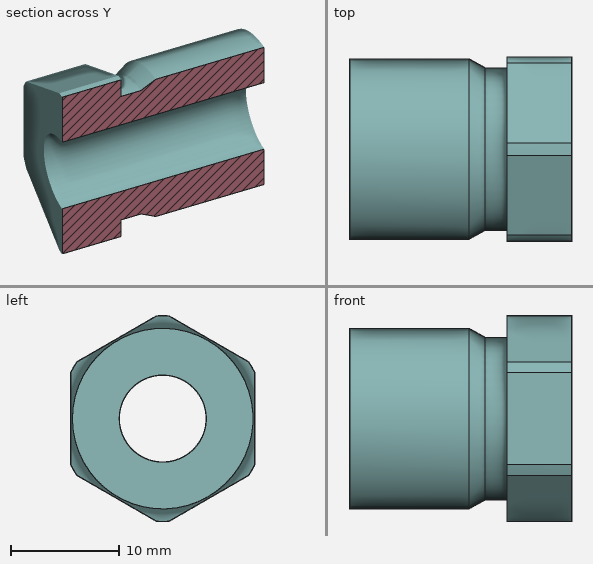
import cadquery as cq
import math

total_length = 20.5
body_diameter = 16.66
body_length = 11.0
neck_diameter = 15.0
neck_start = 12.5
bore_diameter = 8.0
hex_length = 6.0
hex_sides = 6
hex_across_flats = 17.0
hex_corner_diameter = 19.0

hex_start = total_length - hex_length
hex_sharp_diameter = hex_across_flats / math.cos(math.pi / hex_sides)


def make_body():
    """Round body, tapering down to the neck that meets the hexagon."""
    body_radius = body_diameter / 2
    neck_radius = neck_diameter / 2
    half_section = (
        cq.Workplane("XY")
        .moveTo(0, 0)
        .lineTo(0, body_radius)
        .lineTo(body_length, body_radius)
        .lineTo(neck_start, neck_radius)
        .lineTo(hex_start, neck_radius)
        .lineTo(hex_start, 0)
        .close()
    )
    return half_section.revolve(360, (0, 0, 0), (1, 0, 0))


def make_hex_head():
    """Hexagon with flats facing +Y and -Y and corners turned to a cylinder."""
    head_plane = cq.Workplane("YZ", origin=(hex_start, 0, 0))
    sharp_hexagon = (
        head_plane
        .transformed(rotate=(0, 0, 90))
        .polygon(hex_sides, hex_sharp_diameter)
        .extrude(hex_length)
    )
    corner_cylinder = head_plane.circle(hex_corner_diameter / 2).extrude(hex_length)
    return sharp_hexagon.intersect(corner_cylinder)


def make_bore():
    """Plain hole through the whole part."""
    return cq.Workplane("YZ").circle(bore_diameter / 2).extrude(total_length)


result = make_body().union(make_hex_head()).cut(make_bore())